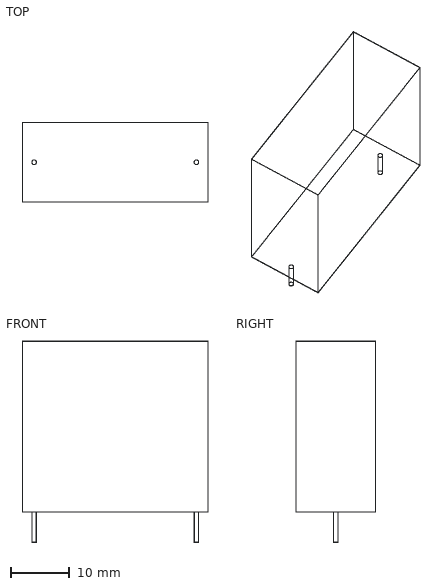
import cadquery as cq

total_height = 34.1
body_width = 31.5
body_depth = 13.5

lead_length = 5.1
lead_diameter = 0.8
lead_spacing = 27.52

body_height = total_height - lead_length


def make_body():
    """Plain rectangular capacitor body with its underside at Z = 0."""
    return cq.Workplane("XY").box(body_width, body_depth, body_height, centered=(True, True, False))


def make_lead(x_position):
    """Straight round lead that hangs from the underside of the body."""
    return (
        cq.Workplane("XY")
        .center(x_position, 0)
        .circle(lead_diameter / 2)
        .extrude(-lead_length)
    )


body = make_body()
leads = [make_lead(side * lead_spacing / 2) for side in (-1, 1)]

result = cq.Compound.makeCompound([body.val(), *[lead.val() for lead in leads]])